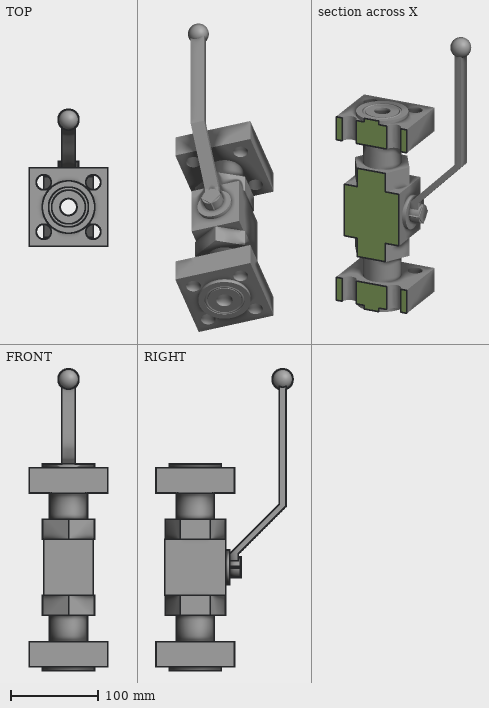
import cadquery as cq
import math

valve_length = 237.0
flange_outer_z = 114.0
flange_inner_z = 85.0
nut_outer_z = 55.0
body_length = 64.5

body_width = 57.0
body_depth = 70.0
nut_across_flats = 60.0
pipe_diameter = 43.8
bore_diameter = 19.0

flange_side = 90.0
raised_face_diameter = 60.0
bolt_circle_diameter = 80.0
bolt_hole_diameter = 17.0

ring_inner_diameter = 38.7
ring_outer_diameter = 45.76

collar_diameter = 40.0
collar_height = 4.5
spindle_diameter = 22.0
spindle_end_y = 51.7
square_side = 17.0
square_end_y = 52.5

lever_width = 16.0
lever_thickness = 8.0
lever_foot_thickness = 10.0
lever_foot_z = 0.0
lever_foot_top_z = 15.5
lever_centre_y = 100.0
knob_diameter = 24.0
knob_top_z = 227.25

half_length = valve_length / 2
body_face_y = body_depth / 2
collar_end_y = body_face_y + collar_height
knob_centre_z = knob_top_z - knob_diameter / 2


def disc(diameter, bottom_z, top_z):
    """Cylinder about the flow axis."""
    return cq.Workplane("XY").workplane(offset=bottom_z).circle(diameter / 2).extrude(top_z - bottom_z)


def cross_cylinder(diameter, start_y, end_y):
    """Cylinder about the Y axis."""
    plane = cq.Plane(origin=(0, start_y, 0), xDir=(1, 0, 0), normal=(0, 1, 0))
    return cq.Workplane(plane).circle(diameter / 2).extrude(end_y - start_y)


def seal_gap():
    """Open space above the O-ring in the upper raised face."""
    cord_radius = (ring_outer_diameter - ring_inner_diameter) / 4
    ring_radius = (ring_outer_diameter + ring_inner_diameter) / 4
    cord_centre_z = half_length - cord_radius
    channel = disc(ring_outer_diameter, cord_centre_z, half_length).cut(
        disc(ring_inner_diameter, cord_centre_z, half_length)
    )
    ring = cq.Workplane("XZ").center(ring_radius, cord_centre_z).circle(cord_radius).revolve(
        360, (-ring_radius, 0), (-ring_radius, 1)
    )
    return channel.cut(ring)


def upper_end():
    """Nut, pipe and flange above the body."""
    nut_bottom_z = body_length / 2
    nut_corner_diameter = nut_across_flats / math.cos(math.pi / 6)
    nut = (
        cq.Workplane("XY")
        .workplane(offset=nut_bottom_z)
        .transformed(rotate=(0, 0, 90))
        .polygon(6, nut_corner_diameter)
        .extrude(nut_outer_z - nut_bottom_z)
    )
    flange = (
        cq.Workplane("XY")
        .workplane(offset=flange_inner_z)
        .rect(flange_side, flange_side)
        .extrude(flange_outer_z - flange_inner_z)
    )
    bolt_spacing = bolt_circle_diameter / math.sqrt(2)
    bolt_holes = (
        cq.Workplane("XY")
        .workplane(offset=flange_inner_z)
        .rect(bolt_spacing, bolt_spacing, forConstruction=True)
        .vertices()
        .circle(bolt_hole_diameter / 2)
        .extrude(flange_outer_z - flange_inner_z)
    )
    return (
        nut.union(disc(pipe_diameter, nut_bottom_z, flange_outer_z))
        .union(flange.cut(bolt_holes))
        .union(disc(raised_face_diameter, flange_outer_z, half_length))
        .cut(seal_gap())
    )


def spindle():
    """Collar and round spindle, with a square key whose corners stand out of the round."""
    collar = cross_cylinder(collar_diameter, body_face_y, collar_end_y)
    stem = cross_cylinder(spindle_diameter, collar_end_y, spindle_end_y)
    square_length = square_end_y - collar_end_y
    square = (
        cq.Workplane("XY")
        .box(square_side, square_length, square_side)
        .rotate((0, 0, 0), (0, 1, 0), 45)
        .translate((0, collar_end_y + square_length / 2, 0))
    )
    return collar.union(stem).union(square)


def lever():
    """Flat bar that rises from the spindle at 45 degrees and then runs parallel to Z."""
    foot_outer_y = collar_end_y + lever_foot_thickness
    arm_inner_y = lever_centre_y - lever_thickness / 2
    arm_outer_y = lever_centre_y + lever_thickness / 2
    inner_bend_z = lever_foot_top_z + arm_inner_y - collar_end_y
    outer_bend_z = lever_foot_top_z + arm_outer_y - foot_outer_y
    bar = (
        cq.Workplane("YZ")
        .polyline(
            [
                (collar_end_y, lever_foot_z),
                (collar_end_y, lever_foot_top_z),
                (arm_inner_y, inner_bend_z),
                (arm_inner_y, knob_centre_z),
                (arm_outer_y, knob_centre_z),
                (arm_outer_y, outer_bend_z),
                (foot_outer_y, lever_foot_top_z),
                (foot_outer_y, lever_foot_z),
            ]
        )
        .close()
        .extrude(lever_width / 2, both=True)
    )
    knob = cq.Workplane("XY").sphere(knob_diameter / 2).translate((0, lever_centre_y, knob_centre_z))
    return bar.union(knob)


body = cq.Workplane("XY").box(body_width, body_depth, body_length)
top_end = upper_end()
result = (
    body.union(top_end)
    .union(top_end.mirror("XY"))
    .cut(disc(bore_diameter, -half_length, half_length))
    .union(spindle())
    .union(lever())
)